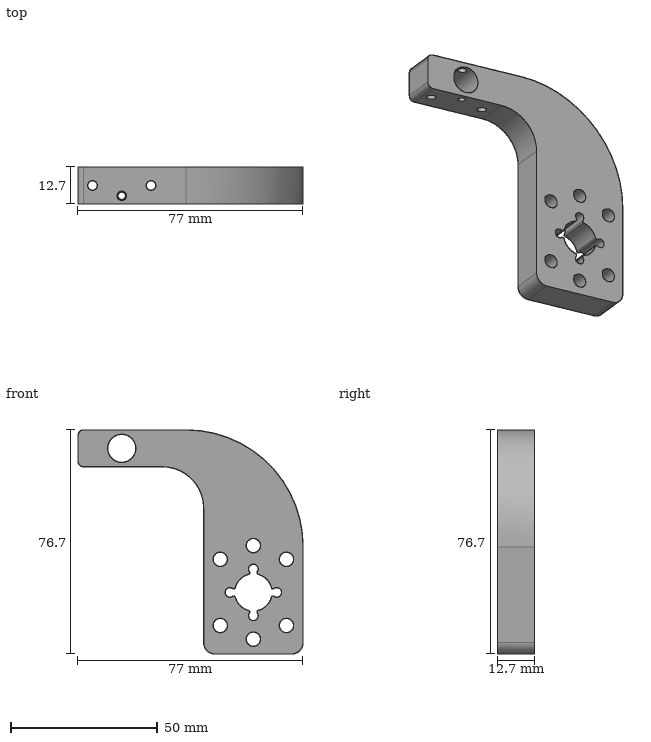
import cadquery as cq
import math


length_x = 77.05
height_z = 76.7
thickness = 12.7

arm_height = 12.7
leg_width = 34.1
outer_bend_radius = 40.0
inner_bend_radius = 14.0
arm_corner_radius = 2.0
leg_corner_radius = 4.0

hub_height_above_foot = 21.1
hub_bore_diameter = 12.7
lobe_circle_radius = 8.0
lobe_diameter = 3.2
lobe_blend_radius = 0.6
lobe_angles = (0, 90, 180, 270)
bolt_circle_radius = 16.0
bolt_diameter = 4.8
bolt_angles = (45, 90, 135, 225, 270, 315)

rod_diameter = 9.53
rod_from_arm_end = 15.0
mount_hole_diameter = 3.2
mount_hole_offset = 10.0
clamp_clearance_diameter = 3.2
clamp_pilot_diameter = 2.53
clamp_from_front_face = 2.8

right = leg_width / 2
left = right - length_x
leg_left = right - leg_width
bottom = -hub_height_above_foot
top = bottom + height_z
arm_bottom = top - arm_height
arm_middle = top - arm_height / 2
front_face = -thickness / 2
rod_x = left + rod_from_arm_end


def plate_sketch():
    """XZ sketch plane at mid thickness (its normal points to -Y)."""
    return cq.Workplane("XZ")


def through_holes(points, diameter):
    """Cylinders along Y spanning the whole thickness at the given (x, z) points."""
    return plate_sketch().pushPoints(points).circle(diameter / 2).extrude(thickness / 2, both=True)


def polar(radius, angle):
    """Point at an angle in degrees around the hub centre."""
    return (radius * math.cos(math.radians(angle)), radius * math.sin(math.radians(angle)))


def make_plate():
    """Arm and leg joined by an outer and an inner quarter-circle bend."""
    plate = (
        plate_sketch()
        .moveTo(left, top)
        .lineTo(right - outer_bend_radius, top)
        .radiusArc((right, top - outer_bend_radius), outer_bend_radius)
        .lineTo(right, bottom)
        .lineTo(leg_left, bottom)
        .lineTo(leg_left, arm_bottom - inner_bend_radius)
        .radiusArc((leg_left - inner_bend_radius, arm_bottom), -inner_bend_radius)
        .lineTo(left, arm_bottom)
        .close()
        .extrude(thickness / 2, both=True)
    )
    plate = plate.edges("|Y and <X").fillet(arm_corner_radius)
    return plate.edges("|Y and <Z").fillet(leg_corner_radius)


def make_lobe():
    """Lobe on the +X side of the hub bore, with a neck blended tangent to bore and lobe."""
    bore_radius = hub_bore_diameter / 2
    lobe_radius = lobe_diameter / 2
    to_hub = bore_radius + lobe_blend_radius
    to_lobe = lobe_radius + lobe_blend_radius
    blend_x = (to_hub**2 - to_lobe**2 + lobe_circle_radius**2) / (2 * lobe_circle_radius)
    blend_z = math.sqrt(to_hub**2 - blend_x**2)

    bore_touch_x = blend_x * bore_radius / to_hub
    bore_touch_z = blend_z * bore_radius / to_hub
    lobe_touch_x = lobe_circle_radius + (blend_x - lobe_circle_radius) * lobe_radius / to_lobe
    lobe_touch_z = blend_z * lobe_radius / to_lobe
    neck_z = blend_z - lobe_blend_radius

    return (
        plate_sketch()
        .moveTo(0, 0)
        .lineTo(bore_touch_x, -bore_touch_z)
        .threePointArc((blend_x, -neck_z), (lobe_touch_x, -lobe_touch_z))
        .threePointArc((lobe_circle_radius + lobe_radius, 0), (lobe_touch_x, lobe_touch_z))
        .threePointArc((blend_x, neck_z), (bore_touch_x, bore_touch_z))
        .close()
        .extrude(thickness / 2, both=True)
    )


def make_hub_opening():
    """Round bore with four equal lobes."""
    opening = through_holes([(0, 0)], hub_bore_diameter)
    lobe = make_lobe()
    for angle in lobe_angles:
        opening = opening.union(lobe.rotate((0, 0, 0), (0, 1, 0), angle))
    return opening


def vertical_hole(x, y, diameter, z_low, z_high):
    """Cylinder along Z between two heights."""
    return cq.Workplane("XY", origin=(x, y, z_low)).circle(diameter / 2).extrude(z_high - z_low)


def cut_arm_holes(body):
    """Rod bore, two mounting holes beside it and a stepped clamp screw hole across it."""
    body = body.cut(through_holes([(rod_x, arm_middle)], rod_diameter))
    for side in (-1, 1):
        mount_x = rod_x + side * mount_hole_offset
        body = body.cut(vertical_hole(mount_x, 0, mount_hole_diameter, arm_bottom, top))
    clamp_y = front_face + clamp_from_front_face
    body = body.cut(vertical_hole(rod_x, clamp_y, clamp_clearance_diameter, arm_middle, top))
    return body.cut(vertical_hole(rod_x, clamp_y, clamp_pilot_diameter, arm_bottom, arm_middle))


bolt_points = [polar(bolt_circle_radius, angle) for angle in bolt_angles]

result = make_plate()
result = result.cut(make_hub_opening())
result = result.cut(through_holes(bolt_points, bolt_diameter))
result = cut_arm_holes(result)